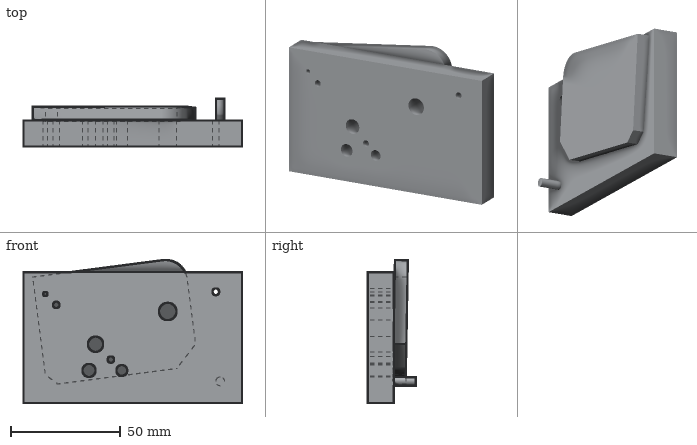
import cadquery as cq

plate_length = 100
plate_thickness = 12
plate_height = 60

plate_holes = [
    (10, 50, 2),
    (15, 45, 3),
    (88, 51, 3),
    (66, 42, 8),
    (33, 27, 7),
    (30, 15, 6),
    (40, 20, 3),
    (45, 15, 5),
]

pin_x = 90
pin_z = 10
pin_diameter = 4
pin_length = 10

arm_length = 70
arm_width = 50
arm_thickness = 6
arm_round_radius = 10
arm_small_chamfer = 5
arm_large_chamfer = 10
arm_corner_x = 4.2
arm_corner_z = 57.8
arm_turn_angle = 7.4
arm_lean_angle = 1
arm_lean_axis_z = 42


def make_arm():
    """Block with one rounded and two chamfered corners, placed by its upper left corner."""
    block = cq.Workplane("XY").box(arm_length, arm_thickness, arm_width, centered=False)
    block = block.translate((0, 0, -arm_width))
    block = block.edges("|Y and >X and >Z").fillet(arm_round_radius)
    block = block.edges("|Y and <X and <Z").chamfer(arm_small_chamfer)
    block = block.edges("|Y and >X and <Z").chamfer(arm_large_chamfer)
    turned = block.rotate((0, 0, 0), (0, 1, 0), -arm_turn_angle)
    placed = turned.translate((arm_corner_x, plate_thickness, arm_corner_z))
    axis_start = (0, plate_thickness, arm_lean_axis_z)
    axis_end = (1, plate_thickness, arm_lean_axis_z)
    return placed.rotate(axis_start, axis_end, -arm_lean_angle)


def y_cylinder(x, z, diameter, start_y, length):
    """Cylinder running along +Y from start_y."""
    return cq.Workplane(cq.Solid.makeCylinder(
        diameter / 2, length, cq.Vector(x, start_y, z), cq.Vector(0, 1, 0)))


def make_plate(arm_body):
    """Drilled plate with its pin and a shallow recess for the leaning arm."""
    body = cq.Workplane("XY").box(plate_length, plate_thickness, plate_height, centered=False)
    for x, z, diameter in plate_holes:
        body = body.cut(y_cylinder(x, z, diameter, 0, plate_thickness))
    body = body.union(y_cylinder(pin_x, pin_z, pin_diameter, plate_thickness, pin_length))
    return body.cut(arm_body)


arm = make_arm()
plate = make_plate(arm)

result = cq.Compound.makeCompound([plate.val(), arm.val()])